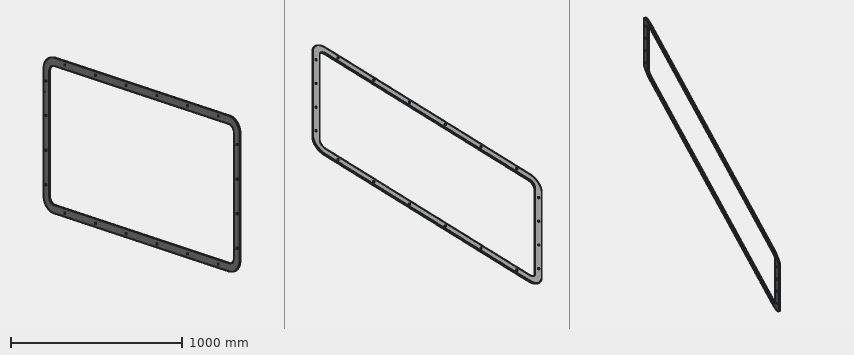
import cadquery as cq

LENGTH = 1726.0
HEIGHT = 951.0
THICKNESS = 10.0

BAND_WIDTH = 50.0
OUTER_RADIUS = 93.0
INNER_RADIUS = OUTER_RADIUS - BAND_WIDTH

HOLE_DIAMETER = 10.0
HOLE_EDGE_OFFSET = 22.5
LONG_SIDE_HOLES = 6
LONG_SIDE_PITCH = 270.0
SHORT_SIDE_HOLES = 4
SHORT_SIDE_PITCH = 211.0


def rounded_plate(length, height, radius):
    """Upright plate in the XZ plane, centred on the origin, with rounded corners."""
    return cq.Workplane("XZ").box(length, height, THICKNESS).edges("|Y").fillet(radius)


def centred_positions(count, pitch):
    """Evenly pitched positions, symmetric about zero."""
    return [(index - (count - 1) / 2) * pitch for index in range(count)]


def hole_centres():
    """(x, z) centres of the holes along all four sides."""
    side_x = LENGTH / 2 - HOLE_EDGE_OFFSET
    side_z = HEIGHT / 2 - HOLE_EDGE_OFFSET
    centres = []
    for sign in (-1, 1):
        for x in centred_positions(LONG_SIDE_HOLES, LONG_SIDE_PITCH):
            centres.append((x, sign * side_z))
        for z in centred_positions(SHORT_SIDE_HOLES, SHORT_SIDE_PITCH):
            centres.append((sign * side_x, z))
    return centres


def fixing_holes():
    """Cylinders that cut the fixing holes through the full thickness."""
    return (
        cq.Workplane("XZ")
        .pushPoints(hole_centres())
        .circle(HOLE_DIAMETER / 2)
        .extrude(THICKNESS, both=True)
    )


outer_plate = rounded_plate(LENGTH, HEIGHT, OUTER_RADIUS)
opening = rounded_plate(LENGTH - 2 * BAND_WIDTH, HEIGHT - 2 * BAND_WIDTH, INNER_RADIUS)

result = outer_plate.cut(opening).cut(fixing_holes())